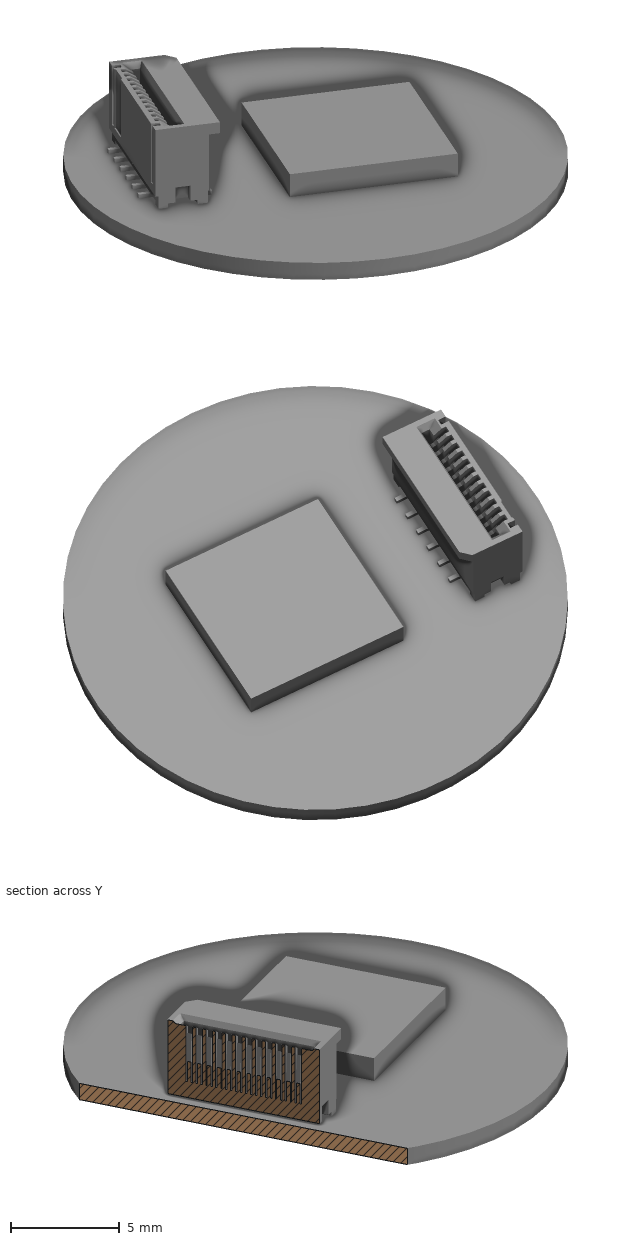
import cadquery as cq

BOARD_DIAMETER = 23.2
BOARD_THICKNESS = 0.85
OVERALL_HEIGHT = 5.0

CHIP_SIDE = 8.03
CHIP_HEIGHT = 1.15
CHIP_CENTER_Y = 1.62

HOUSING_WIDTH = 7.65
HOUSING_HALF = HOUSING_WIDTH / 2
HOUSING_TOP = OVERALL_HEIGHT - BOARD_THICKNESS
HOUSING_FRONT = -8.77
HOUSING_BACK = -6.2
FOOT_BOTTOM = 0.15
BASE_TOP = 0.77
BASE_FRONT = -8.63
BASE_BACK = -6.26

FLANGE_BACK = -5.68
FLANGE_HEIGHT = 0.55
FLANGE_CHAMFER = 0.45

RELIEF_TOP = 0.35
RELIEF_HALF_WIDTH = 3.35
RELIEF_FRONT = -8.17
RELIEF_BACK = -6.75

NOTCH_FRONT = -7.82
NOTCH_BACK = -7.1
NOTCH_TOP = 1.11
NOTCH_DEPTH = 0.4

SOCKET_HALF_WIDTH = 3.55
SOCKET_FRONT = -8.28
SOCKET_BACK = -7.3
SOCKET_FLOOR = 1.18
LEAD_IN_DEPTH = 0.28
LEAD_IN_END = 0.25
LEAD_IN_FRONT = 0.42
LEAD_IN_BACK = 0.15

END_SLOT_X = 3.25
END_SLOT_WIDTH = 0.28
END_SLOT_DEPTH = 0.4
KEY_LEFT = -2.97
KEY_RIGHT = -1.88
KEY_DEPTH = 0.07

CONTACT_COUNT = 12
CONTACT_SPAN = 5.5
CONTACT_PITCH = CONTACT_SPAN / (CONTACT_COUNT - 1)
CONTACT_WIDTH = 0.2
CONTACT_TIP = 3.65
POST_FRONT = -8.15
POST_PEAK = -8.07
POST_SHOULDER = -7.82
POST_SHOULDER_DROP = 0.23
POST_BACK_DROP = 0.3
POST_BACK_FRONT_ROW = -7.59
POST_BACK_BACK_ROW = -7.65
CONTACT_SLOT_WIDTH = 0.3
CONTACT_SLOT_FRONT = -8.51
LEAD_BOTTOM = 0.05
LEAD_TOP = 0.25
FRONT_LEAD_OUTER = -9.15
FRONT_LEAD_INNER = -8.33
BACK_LEAD_OUTER = -5.78
BACK_LEAD_INNER = -6.6
RISER_THICKNESS = 0.2
RISER_LEAN = 0.05

CLEARANCE = 0.23


def block(x_min, x_max, y_min, y_max, z_min, z_max):
    """Box between opposite corners."""
    return cq.Workplane("XY").box(
        x_max - x_min, y_max - y_min, z_max - z_min, centered=False
    ).translate((x_min, y_min, z_min))


def centered_block(x_center, width, y_min, y_max, z_min, z_max):
    """Box of a given width centred on an X position."""
    return block(x_center - width / 2, x_center + width / 2, y_min, y_max, z_min, z_max)


def make_board():
    return cq.Workplane("XY").circle(BOARD_DIAMETER / 2).extrude(BOARD_THICKNESS)


def make_chip():
    half = CHIP_SIDE / 2
    return block(-half, half, CHIP_CENTER_Y - half, CHIP_CENTER_Y + half,
                 BOARD_THICKNESS, BOARD_THICKNESS + CHIP_HEIGHT)


def housing_shell():
    """Housing outside: narrower base, tall body and top ledge."""
    base = centered_block(0, HOUSING_WIDTH, BASE_FRONT, BASE_BACK, FOOT_BOTTOM, BASE_TOP)
    body = centered_block(0, HOUSING_WIDTH, HOUSING_FRONT, HOUSING_BACK, BASE_TOP, HOUSING_TOP)
    flange = centered_block(0, HOUSING_WIDTH, HOUSING_BACK, FLANGE_BACK,
                            HOUSING_TOP - FLANGE_HEIGHT, HOUSING_TOP)
    flange = flange.edges("|Z and <X and >Y").chamfer(FLANGE_CHAMFER)
    return base.union(body).union(flange)


def cut_underside(housing):
    """Two crossing reliefs and the end notches."""
    along_x = centered_block(0, HOUSING_WIDTH + 2 * CLEARANCE, RELIEF_FRONT, RELIEF_BACK,
                             0, RELIEF_TOP)
    along_y = centered_block(0, 2 * RELIEF_HALF_WIDTH, HOUSING_FRONT - CLEARANCE,
                             HOUSING_BACK + CLEARANCE, 0, RELIEF_TOP)
    housing = housing.cut(along_x).cut(along_y)
    for end in (-1, 1):
        notch = centered_block(end * HOUSING_HALF, 2 * NOTCH_DEPTH, NOTCH_FRONT, NOTCH_BACK,
                               0, NOTCH_TOP)
        housing = housing.cut(notch)
    return housing


def cut_socket(housing):
    """Rectangular socket below a tapered mouth."""
    inner_half = SOCKET_HALF_WIDTH - LEAD_IN_END
    inner_front = SOCKET_FRONT + LEAD_IN_FRONT
    inner_back = SOCKET_BACK - LEAD_IN_BACK
    well = centered_block(0, 2 * inner_half, inner_front, inner_back, SOCKET_FLOOR, HOUSING_TOP)
    mouth = (
        cq.Workplane("XY", origin=(0, (inner_front + inner_back) / 2, HOUSING_TOP - LEAD_IN_DEPTH))
        .rect(2 * inner_half, inner_back - inner_front)
        .workplane(offset=LEAD_IN_DEPTH)
        .center(0, (SOCKET_FRONT + SOCKET_BACK - inner_front - inner_back) / 2)
        .rect(2 * SOCKET_HALF_WIDTH, SOCKET_BACK - SOCKET_FRONT)
        .loft(ruled=True)
    )
    return housing.cut(well).cut(mouth)


def cut_front_face(housing):
    """Upright slot near each end and the key recess with sloped sides."""
    for end in (-1, 1):
        slot = centered_block(end * END_SLOT_X, END_SLOT_WIDTH, HOUSING_FRONT - CLEARANCE,
                              HOUSING_FRONT + END_SLOT_DEPTH, SOCKET_FLOOR,
                              HOUSING_TOP + CLEARANCE)
        housing = housing.cut(slot)
    key = (
        cq.Workplane("XY", origin=(0, 0, SOCKET_FLOOR))
        .moveTo(KEY_LEFT, HOUSING_FRONT)
        .lineTo(KEY_RIGHT, HOUSING_FRONT)
        .lineTo(KEY_RIGHT - KEY_DEPTH, HOUSING_FRONT + KEY_DEPTH)
        .lineTo(KEY_LEFT + KEY_DEPTH, HOUSING_FRONT + KEY_DEPTH)
        .close()
        .extrude(HOUSING_TOP - SOCKET_FLOOR)
    )
    return housing.cut(key)


def contact_profile(x, outline):
    """Contact-wide plate with a (Y, Z) outline."""
    return (
        cq.Workplane("YZ", origin=(x - CONTACT_WIDTH / 2, 0, 0))
        .polyline(outline)
        .close()
        .extrude(CONTACT_WIDTH)
    )


def make_post(x, back):
    """Upright post whose tip slopes down toward the back."""
    return contact_profile(x, [
        (POST_FRONT, SOCKET_FLOOR),
        (POST_PEAK, CONTACT_TIP),
        (POST_SHOULDER, CONTACT_TIP - POST_SHOULDER_DROP),
        (back, CONTACT_TIP - POST_BACK_DROP),
        (back, SOCKET_FLOOR),
    ])


def make_lead(x, outer, inner):
    """Flat lead with a leaning riser that joins its inner end to the housing underside."""
    outward = 1 if outer > inner else -1
    riser_inner = inner - outward * RISER_LEAN
    riser_outer = inner + outward * RISER_THICKNESS
    return contact_profile(x, [
        (outer, LEAD_BOTTOM),
        (outer, LEAD_TOP),
        (riser_outer, LEAD_TOP),
        (riser_outer, RELIEF_TOP),
        (riser_inner, RELIEF_TOP),
        (inner, LEAD_BOTTOM),
    ])


def add_contacts(housing):
    """Slot in the front wall, post and lead for each contact."""
    first_x = -CONTACT_SPAN / 2
    slot_back = SOCKET_FRONT + LEAD_IN_FRONT
    for index in range(CONTACT_COUNT):
        x = first_x + index * CONTACT_PITCH
        slot = centered_block(x, CONTACT_SLOT_WIDTH, CONTACT_SLOT_FRONT, slot_back,
                              SOCKET_FLOOR, HOUSING_TOP)
        if index % 2 == 0:
            post = make_post(x, POST_BACK_FRONT_ROW)
            lead = make_lead(x, FRONT_LEAD_OUTER, FRONT_LEAD_INNER)
        else:
            post = make_post(x, POST_BACK_BACK_ROW)
            lead = make_lead(x, BACK_LEAD_OUTER, BACK_LEAD_INNER)
        housing = housing.cut(slot).union(post).union(lead)
    return housing


def make_connector():
    connector = housing_shell()
    connector = cut_underside(connector)
    connector = cut_socket(connector)
    connector = cut_front_face(connector)
    connector = add_contacts(connector)
    return connector.translate((0, 0, BOARD_THICKNESS))


board = make_board()
chip = make_chip()
connector = make_connector()

result = cq.Compound.makeCompound([board.val(), chip.val(), *connector.vals()])